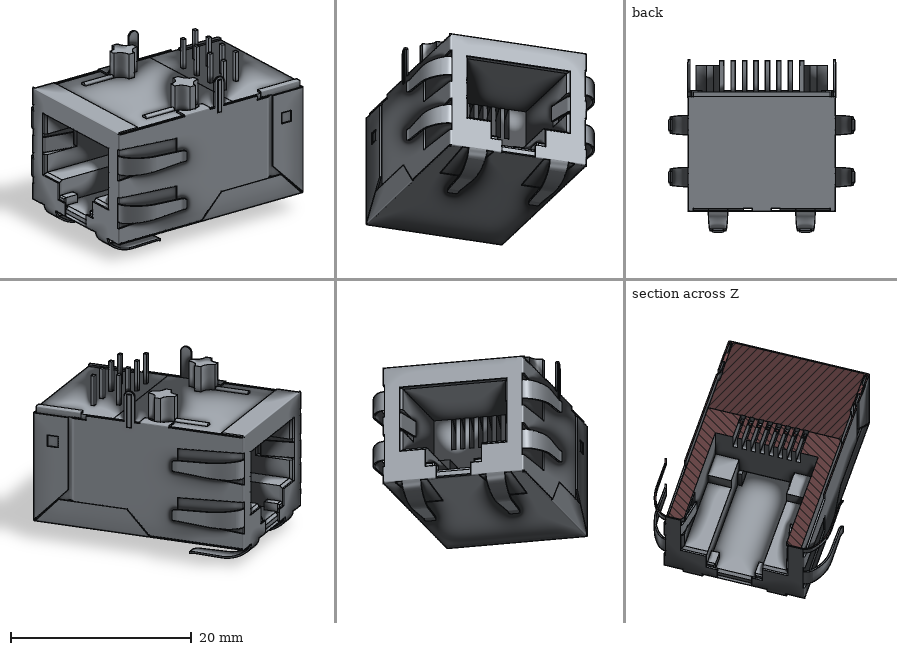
import cadquery as cq
import math


LENGTH = 25.35
HALF_WIDTH = 8.15
SHIELD_TOP = 13.44
SHEET = 0.2
FLOOR_SHEET = 0.13
WALL_INNER = HALF_WIDTH - SHEET
BODY_TOP = SHIELD_TOP - SHEET
BODY_BOTTOM = 0.35
BODY_HALF_WIDTH = 7.7
BODY_REAR = LENGTH - SHEET
SPLIT_Y = 15.85
BEND_RADIUS = 0.18
SIDES = (-1, 1)

WALL_BOTTOM = 0.2
REAR_TOP = 12.73
NOTCH_Y = 18.99
JOG_START_Y = 20.35
JOG_END_Y = 21.17
JOG_DEPTH = 0.38
LAYER_OUTER = HALF_WIDTH - JOG_DEPTH
LAYER_INNER = LAYER_OUTER - SHEET
FRONT_FLAP_DEPTH = 2.8
FRONT_FLAP_HALF_WIDTH = 7.85
TAB_Y = (9.05, 12.55)
TAB_INNER = 6.62
RAIL_START_Y = 19.77
RAIL_INNER = 7.07

FLAP_TOP = 2.97
FLAP_FRONT_Y = (11.38, 14.1)
FLAP_REAR_Y = 22.3
REAR_FLAP_CORNER_Z = 4.23
SEAM = 0.08
FLAP_GAP = 0.03
NECK_HALF_WIDTH = 1.06
RELIEF_HALF_WIDTH = 7.6
WINDOW_SIZE = 1.3
WINDOW_CENTRE = (23.02, 9.68)
WINDOW_DEPTH = 0.13

FINGER_HEIGHTS = (3.83, 9.58)
FINGER_BOTTOM_X = 4.85
FINGER_BOTTOM_Z = -0.115
FINGER_REACH = 2.0
FINGER_SPAN = 20.6
FINGER_TIP_REACH = FINGER_SPAN / 2 - HALF_WIDTH
FINGER_BEND_ANGLE = math.radians(49)
FINGER_ROOT_RADIUS = 1.62
FINGER_ARM_RADIUS = 4.87
FINGER_KINK_Y = 7.12
FINGER_CURL_Y = 7.38
FINGER_CURL = 0.04
FINGER_END_Y = 7.75
FINGER_ROOT_HALF = 1.1
FINGER_TIP_HALF = 0.63
FINGER_TIP_ROUND = 0.23
SLOT_LENGTH = 8.0
SLOT_FRONT_HALF = 1.85
SLOT_REAR_HALF = 1.32

GROUND_PIN_Y = 13.8
GROUND_PIN_WIDTH = 1.27
GROUND_PIN_TOP = 16.83
BEAD_WIDTH = 0.55
BEAD_HEIGHT = 0.1
BEAD_Z = (12.6, 16.53)
BLADE_Z = (6.29, 8.09)
BLADE_BEND_X = 6.0
BLADE_BEND_Y = 0.38
BLADE_END_X = 5.37
BLADE_END_Y = 3.73

MOUTH_HALF = 6.19
MOUTH_Z = (3.6, 11.03)
CAVITY_HALF = 5.9
CAVITY_Z = (3.9, 10.88)
LEAD_IN = 0.28
CHANNEL_HALF = 3.25
CHANNEL_INNER = 3.2
CHANNEL_PLATE_Z = 1.6
CHANNEL_FLOOR = 1.17
LIP_CHAMFER = 0.3
LATCH_GAP_HALF = 2.0
CAVITY_REAR = 12.68
LEDGE_RISER_Y = 9.63
LEDGE_RISER_TOP = 5.22
SHOULDER_Y = 12.17
RECESS_TOP = 3.27
RECESS_HALF = 2.7
RECESS_REAR = 14.2
STOP_INNER = 2.28
STOP_TOP = 2.1
STOP_LENGTH = 1.77
STOP_CHAMFER = 0.18
BLADE_SLOT_Z = (6.0, 8.5)
BLADE_SLOT_OUTER = 6.6
BLADE_SLOT_END_Y = 4.56

CONTACT_COUNT = 8
CONTACT_PITCH = 1.05
CONTACT_SLOT_WIDTH = 0.5
CONTACT_SLOT_BOTTOM = 7.35
CONTACT_WIDTH = 0.35
CONTACT_ROOT_Z = 8.09
CONTACT_TIP_Y = 12.8
CONTACT_THICKNESS = 0.35
PIN_PITCH = 1.27
PIN_ROWS_Y = (19.67, 17.1)
PIN_SIZE = (0.5, 0.4)
PIN_TOP = 16.73

POST_X = 5.73
POST_Y = 10.75
POST_HALF = 1.57
POST_FLUTE_RADIUS = 1.2
POST_TOP = 16.2
POST_CLEARANCE_RADIUS = 1.62
POST_RIB_RADIUS = 0.38
POST_RIB_DROP = 0.08
POST_RIB_FRONT_Y = 5.27


def block(x, y, z):
    """Box between the given (low, high) limits on each axis."""
    size = [high - low for low, high in (x, y, z)]
    return cq.Workplane("XY").box(*size, centered=False).translate((x[0], y[0], z[0]))


def mirrored_block(side, x, y, z):
    """Box whose X limits are distances from the centre plane, on the chosen side."""
    return block(sorted((side * x[0], side * x[1])), y, z)


def centred(half):
    """Limits at equal distances either side of zero."""
    return (-half, half)


def plan_prism(points, z):
    """Prism with an outline in X and Y, between two heights."""
    return cq.Workplane("XY").workplane(offset=z[0]).polyline(points).close().extrude(z[1] - z[0])


def side_prism(points, x):
    """Prism with an outline in Y and Z, between two X positions."""
    return cq.Workplane("YZ").workplane(offset=x[0]).polyline(points).close().extrude(x[1] - x[0])



def wall_layer(side):
    """Side wall sheet that jogs inward through an S-bend to pass behind the rear flap."""
    jog_mid_y = (JOG_START_Y + JOG_END_Y) / 2
    outer_mid = HALF_WIDTH - JOG_DEPTH / 2
    outline = (
        cq.Workplane("XY").workplane(offset=WALL_BOTTOM)
        .moveTo(HALF_WIDTH, SHEET)
        .lineTo(HALF_WIDTH, JOG_START_Y)
        .tangentArcPoint((outer_mid, jog_mid_y), relative=False)
        .tangentArcPoint((LAYER_OUTER, JOG_END_Y), relative=False)
        .lineTo(LAYER_OUTER, BODY_REAR)
        .lineTo(LAYER_INNER, BODY_REAR)
        .lineTo(LAYER_INNER, JOG_END_Y)
        .tangentArcPoint((outer_mid - SHEET, jog_mid_y), relative=False)
        .tangentArcPoint((WALL_INNER, JOG_START_Y), relative=False)
        .lineTo(WALL_INNER, SHEET)
        .close()
    )
    wall = outline.extrude(BODY_TOP - WALL_BOTTOM)
    wall = wall.cut(block((0, HALF_WIDTH), (NOTCH_Y, LENGTH), (REAR_TOP, BODY_TOP)))
    flap_clearance = [
        (FLAP_FRONT_Y[0] - FLAP_GAP, 0),
        (FLAP_FRONT_Y[0] - FLAP_GAP, WALL_BOTTOM),
        (FLAP_FRONT_Y[1] - FLAP_GAP, FLAP_TOP + FLAP_GAP),
        (LENGTH, FLAP_TOP + FLAP_GAP),
        (LENGTH, 0),
    ]
    wall = wall.cut(side_prism(flap_clearance, (LAYER_OUTER, HALF_WIDTH)))
    return wall if side > 0 else wall.mirror("YZ")


def front_plate():
    """Front sheet with bent edges and the stepped plug opening."""
    plate = block(centred(HALF_WIDTH), (0, SHEET), (0, SHIELD_TOP))
    plate = plate.faces("<Y").edges().fillet(BEND_RADIUS)
    plate = plate.cut(block(centred(MOUTH_HALF), (0, SHEET), MOUTH_Z))
    plate = plate.cut(block(centred(CHANNEL_HALF), (0, SHEET), (CHANNEL_PLATE_Z, MOUTH_Z[1])))
    return plate.cut(block(centred(LATCH_GAP_HALF), (0, SHEET), (FLOOR_SHEET, MOUTH_Z[0])))


def top_tab(side):
    """Flap folded from a side wall over the housing, rounded out around the post."""
    tab = mirrored_block(side, (TAB_INNER, HALF_WIDTH), TAB_Y, (BODY_TOP, SHIELD_TOP))
    outer_edge = ">X" if side > 0 else "<X"
    tab = tab.faces(outer_edge).edges(">Z").fillet(BEND_RADIUS)
    clearance = cq.Workplane("XY").center(side * POST_X, POST_Y).circle(POST_CLEARANCE_RADIUS)
    return tab.cut(clearance.extrude(SHIELD_TOP))


def rear_rail(side):
    """Upper edge of the inner wall layer, folded over the contact block."""
    span = (RAIL_START_Y, BODY_REAR)
    rail = mirrored_block(side, (RAIL_INNER, LAYER_OUTER), span, (REAR_TOP, SHIELD_TOP))
    rail = rail.faces(">X" if side > 0 else "<X").edges(">Z").fillet(BEND_RADIUS)
    return rail.cut(mirrored_block(side, (0, LAYER_INNER), span, (0, BODY_TOP)))


def pan():
    """Bottom and rear sheets with the flaps folded up and forward from them."""
    sheet = block(centred(HALF_WIDTH), (SHEET, LENGTH), (0, REAR_TOP))
    sheet = sheet.edges("(|Z and >Y) or (<Z and (not <Y))").fillet(BEND_RADIUS)
    sheet = sheet.cut(block(centred(WALL_INNER), (0, BODY_REAR), (FLOOR_SHEET, REAR_TOP)))
    open_sides = [
        (0, FLOOR_SHEET),
        (FLAP_FRONT_Y[0], FLOOR_SHEET),
        (FLAP_FRONT_Y[1], FLAP_TOP),
        (FLAP_REAR_Y, FLAP_TOP),
        (BODY_REAR - SEAM, FLOOR_SHEET),
        (BODY_REAR, FLOOR_SHEET),
        (BODY_REAR, SHEET + SEAM),
        (JOG_END_Y, REAR_FLAP_CORNER_Z),
        (JOG_END_Y, REAR_TOP),
        (0, REAR_TOP),
    ]
    sheet = sheet.cut(side_prism(open_sides, centred(HALF_WIDTH)))
    for side in SIDES:
        relief_x = (NECK_HALF_WIDTH, RELIEF_HALF_WIDTH)
        sheet = sheet.cut(mirrored_block(side, relief_x, (BODY_REAR, LENGTH), (FLOOR_SHEET, BODY_BOTTOM)))
    return sheet


def window_square(side, x):
    """Square block at the window through which the inner wall layer meets the rear flap."""
    y, z = WINDOW_CENTRE
    half = WINDOW_SIZE / 2
    return mirrored_block(side, x, (y - half, y + half), (z - half, z + half))


def on_arc(centre, radius, turn):
    """Point on a finger bend, turned from the front plate direction."""
    return (centre[0] + radius * math.sin(turn), centre[1] - radius * math.cos(turn))


def finger():
    """Spring finger curling out of the front plate; X = 0 is the shield face, Z = 0 its centre."""
    sine = math.sin(FINGER_BEND_ANGLE)
    cosine = math.cos(FINGER_BEND_ANGLE)
    root_centre = (
        FINGER_REACH - FINGER_ARM_RADIUS * (1 - sine) - FINGER_ROOT_RADIUS * sine,
        FINGER_ROOT_RADIUS,
    )
    arm_centre = (
        FINGER_REACH - FINGER_ARM_RADIUS,
        FINGER_ROOT_RADIUS * (1 - cosine) + FINGER_ARM_RADIUS * cosine,
    )

    root_mid = FINGER_BEND_ANGLE / 2
    arm_mid = (FINGER_BEND_ANGLE + math.pi / 2) / 2
    root_in = FINGER_ROOT_RADIUS - SHEET
    arm_in = FINGER_ARM_RADIUS - SHEET
    inner_reach = FINGER_REACH - SHEET
    sheet = (
        cq.Workplane("XY").workplane(offset=-FINGER_ROOT_HALF)
        .moveTo(*on_arc(root_centre, FINGER_ROOT_RADIUS, 0))
        .threePointArc(
            on_arc(root_centre, FINGER_ROOT_RADIUS, root_mid),
            on_arc(root_centre, FINGER_ROOT_RADIUS, FINGER_BEND_ANGLE))
        .threePointArc(
            on_arc(arm_centre, FINGER_ARM_RADIUS, arm_mid),
            (FINGER_REACH, arm_centre[1]))
        .lineTo(FINGER_REACH, FINGER_KINK_Y)
        .tangentArcPoint((FINGER_REACH + FINGER_CURL, FINGER_CURL_Y), relative=False)
        .lineTo(FINGER_TIP_REACH, FINGER_END_Y)
        .lineTo(FINGER_TIP_REACH - SHEET, FINGER_END_Y)
        .lineTo(inner_reach + FINGER_CURL, FINGER_CURL_Y)
        .tangentArcPoint((inner_reach, FINGER_KINK_Y), relative=False)
        .lineTo(inner_reach, arm_centre[1])
        .threePointArc(
            on_arc(arm_centre, arm_in, arm_mid),
            on_arc(arm_centre, arm_in, FINGER_BEND_ANGLE))
        .threePointArc(
            on_arc(root_centre, root_in, root_mid),
            on_arc(root_centre, root_in, 0))
        .close()
        .extrude(2 * FINGER_ROOT_HALF)
    )
    taper = [
        (0, -FINGER_ROOT_HALF),
        (FINGER_END_Y, -FINGER_TIP_HALF),
        (FINGER_END_Y, FINGER_TIP_HALF),
        (0, FINGER_ROOT_HALF),
    ]
    envelope = side_prism(taper, centred(2 * FINGER_TIP_REACH))
    return sheet.intersect(envelope.edges("|X and >Y").fillet(FINGER_TIP_ROUND))


def finger_slot():
    """Tapered opening that frees a finger from the sheet; placed like the finger."""
    outline = [
        (0, -SLOT_FRONT_HALF),
        (SLOT_LENGTH, -SLOT_REAR_HALF),
        (SLOT_LENGTH, SLOT_REAR_HALF),
        (0, SLOT_FRONT_HALF),
    ]
    return side_prism(outline, (-SHEET, SHEET))


def at_finger_places(shape):
    """Copies of a shape at the four side fingers and the two bottom fingers."""
    copies = []
    for side in SIDES:
        flank = shape if side > 0 else shape.mirror("YZ")
        copies += [flank.translate((side * HALF_WIDTH, 0, height)) for height in FINGER_HEIGHTS]
        underside = shape.rotate((0, 0, 0), (0, 1, 0), 90)
        copies.append(underside.translate((side * FINGER_BOTTOM_X, 0, FINGER_BOTTOM_Z)))
    return copies


def ground_pin(side):
    """Round-ended pin rising from a side wall, stiffened by an outward bead."""
    radius = GROUND_PIN_WIDTH / 2
    low_face = WALL_INNER if side > 0 else -HALF_WIDTH
    pin = (
        cq.Workplane("YZ").workplane(offset=low_face)
        .moveTo(GROUND_PIN_Y - radius, REAR_TOP)
        .lineTo(GROUND_PIN_Y - radius, GROUND_PIN_TOP - radius)
        .threePointArc((GROUND_PIN_Y, GROUND_PIN_TOP), (GROUND_PIN_Y + radius, GROUND_PIN_TOP - radius))
        .lineTo(GROUND_PIN_Y + radius, REAR_TOP)
        .close()
        .extrude(SHEET)
    )
    bead_span = (GROUND_PIN_Y - BEAD_WIDTH / 2, GROUND_PIN_Y + BEAD_WIDTH / 2)
    bead = mirrored_block(side, (HALF_WIDTH - SHEET / 2, HALF_WIDTH + BEAD_HEIGHT), bead_span, BEAD_Z)
    bead = bead.faces(">X" if side > 0 else "<X").chamfer(BEAD_HEIGHT / 2)
    return pin.union(bead)


def blade(side):
    """Spring blade slanting from the mouth edge into the cavity."""
    outline = [
        (side * MOUTH_HALF, 0),
        (side * BLADE_BEND_X, BLADE_BEND_Y),
        (side * BLADE_END_X, BLADE_END_Y),
        (side * (BLADE_END_X + SHEET), BLADE_END_Y),
        (side * (BLADE_BEND_X + SHEET), BLADE_BEND_Y),
        (side * (MOUTH_HALF + SHEET), SHEET),
        (side * (MOUTH_HALF + SHEET), 0),
    ]
    return plan_prism(outline, BLADE_Z)


def make_shield():
    """Sheet-metal shell with its flaps, fingers, ground pins and blades, as one solid."""
    shield = front_plate().union(pan())
    flap_y = (SHEET, FRONT_FLAP_DEPTH)
    shield = shield.union(block(centred(FRONT_FLAP_HALF_WIDTH), flap_y, (BODY_TOP, SHIELD_TOP)))
    for side in SIDES:
        shield = shield.union(wall_layer(side))
        shield = shield.union(top_tab(side))
        shield = shield.union(rear_rail(side))
        shield = shield.union(window_square(side, (LAYER_OUTER, WALL_INNER)))
        shield = shield.cut(window_square(side, (HALF_WIDTH - WINDOW_DEPTH, HALF_WIDTH)))
        shield = shield.union(ground_pin(side))
        shield = shield.union(blade(side))
    for slot in at_finger_places(finger_slot()):
        shield = shield.cut(slot)
    for spring in at_finger_places(finger()):
        shield = shield.union(spring)
    return shield



def contact_positions(pitch):
    """X positions of a centred row with one place for each contact."""
    return [(i - (CONTACT_COUNT - 1) / 2) * pitch for i in range(CONTACT_COUNT)]


def lead_in():
    """Tapered mouth narrowing from the plate opening to the cavity."""
    mouth_centre = sum(MOUTH_Z) / 2
    cavity_centre = sum(CAVITY_Z) / 2
    return (
        cq.Workplane("XZ", origin=(0, SHEET, 0))
        .center(0, mouth_centre)
        .rect(2 * MOUTH_HALF, MOUTH_Z[1] - MOUTH_Z[0])
        .workplane(offset=-LEAD_IN)
        .center(0, cavity_centre - mouth_centre)
        .rect(2 * CAVITY_HALF, CAVITY_Z[1] - CAVITY_Z[0])
        .loft()
    )


def plug_cavity():
    """Space for the plug: main cavity, latch channel, latch recess and lead-in."""
    cavity = block(centred(CAVITY_HALF), (SHEET, CAVITY_REAR), CAVITY_Z)
    for side in SIDES:
        riser_x = (CHANNEL_INNER, CAVITY_HALF)
        riser_z = (CAVITY_Z[0], LEDGE_RISER_TOP)
        cavity = cavity.cut(mirrored_block(side, riser_x, (LEDGE_RISER_Y, CAVITY_REAR), riser_z))
    channel_x = centred(CHANNEL_INNER)
    cavity = cavity.union(block(channel_x, (SHEET, SHOULDER_Y), (CHANNEL_FLOOR, CAVITY_Z[1])))
    cavity = cavity.union(block(channel_x, (SHOULDER_Y, CAVITY_REAR), (RECESS_TOP, CAVITY_Z[1])))
    recess_y = (SHOULDER_Y, RECESS_REAR)
    cavity = cavity.union(block(centred(RECESS_HALF), recess_y, (CHANNEL_FLOOR, RECESS_TOP)))
    channel_mouth = [
        (-CHANNEL_HALF, SHEET),
        (CHANNEL_HALF, SHEET),
        (CHANNEL_INNER, SHEET + LEAD_IN),
        (-CHANNEL_INNER, SHEET + LEAD_IN),
    ]
    cavity = cavity.union(plan_prism(channel_mouth, (CHANNEL_FLOOR, CAVITY_Z[0])))
    return cavity.union(lead_in())


def latch_stop(side):
    """Chamfered block in a front corner of the latch channel."""
    span = (SHEET, SHEET + STOP_LENGTH)
    stop = mirrored_block(side, (STOP_INNER, CHANNEL_HALF), span, (CHANNEL_FLOOR, STOP_TOP))
    inner_edge = "<X" if side > 0 else ">X"
    return stop.faces("<Y").edges(f">Z or {inner_edge}").chamfer(STOP_CHAMFER)


def post(side):
    """Locating post with four concave flutes, and a half-round rib running forward from it."""
    square = block(centred(POST_HALF), centred(POST_HALF), (BODY_TOP, POST_TOP))
    corners = [(x * POST_HALF, y * POST_HALF) for x in SIDES for y in SIDES]
    flutes = cq.Workplane("XY").pushPoints(corners).circle(POST_FLUTE_RADIUS).extrude(POST_TOP)
    star = square.cut(flutes).translate((side * POST_X, POST_Y, 0))
    rib = (
        cq.Workplane("XZ", origin=(side * POST_X, POST_RIB_FRONT_Y, BODY_TOP - POST_RIB_DROP))
        .circle(POST_RIB_RADIUS)
        .extrude(POST_RIB_FRONT_Y - POST_Y)
    )
    return star.union(rib)


def make_housing():
    """Front plastic body with the plug cavity and the locating posts."""
    housing = block(centred(BODY_HALF_WIDTH), (SHEET, SPLIT_Y), (BODY_BOTTOM, BODY_TOP))
    housing = housing.cut(plug_cavity())
    lip = [
        (SHEET, CHANNEL_FLOOR - LIP_CHAMFER),
        (SHEET + LIP_CHAMFER, CHANNEL_FLOOR),
        (SHEET, CHANNEL_FLOOR),
    ]
    housing = housing.cut(side_prism(lip, centred(LATCH_GAP_HALF)))
    for x in contact_positions(CONTACT_PITCH):
        slot_x = (x - CONTACT_SLOT_WIDTH / 2, x + CONTACT_SLOT_WIDTH / 2)
        slot_z = (CONTACT_SLOT_BOTTOM, CAVITY_Z[1])
        housing = housing.cut(block(slot_x, (CAVITY_REAR, SPLIT_Y), slot_z))
    for side in SIDES:
        blade_x = (0, BLADE_SLOT_OUTER)
        housing = housing.cut(mirrored_block(side, blade_x, (SHEET, BLADE_SLOT_END_Y), BLADE_SLOT_Z))
        housing = housing.union(latch_stop(side))
        housing = housing.union(post(side))
    return housing



def contact(x):
    """Slanted contact reaching from the block up to the cavity roof."""
    roof = CAVITY_Z[1]
    slope = (roof - CONTACT_ROOT_Z) / (SPLIT_Y - CONTACT_TIP_Y)
    outline = [
        (SPLIT_Y, CONTACT_ROOT_Z),
        (CONTACT_TIP_Y, roof),
        (CONTACT_TIP_Y + CONTACT_THICKNESS / slope, roof),
        (SPLIT_Y, CONTACT_ROOT_Z + CONTACT_THICKNESS),
    ]
    return side_prism(outline, (x - CONTACT_WIDTH / 2, x + CONTACT_WIDTH / 2))


def make_contact_block():
    """Rear body carrying the contacts and two staggered rows of solder pins."""
    z = (BODY_BOTTOM, BODY_TOP)
    body = block(centred(BODY_HALF_WIDTH), (SPLIT_Y, RAIL_START_Y), z)
    body = body.union(block(centred(LAYER_INNER), (RAIL_START_Y, BODY_REAR), z))
    for x in contact_positions(CONTACT_PITCH):
        body = body.union(contact(x))
    for i, x in enumerate(contact_positions(PIN_PITCH)):
        y = PIN_ROWS_Y[i % len(PIN_ROWS_Y)]
        pin = cq.Workplane("XY").center(x, y).rect(*PIN_SIZE).extrude(PIN_TOP - REAR_TOP)
        body = body.union(pin.translate((0, 0, REAR_TOP)))
    return body


shield = make_shield()
housing = make_housing()
contact_block = make_contact_block()

result = cq.Compound.makeCompound([shield.val(), housing.val(), contact_block.val()])